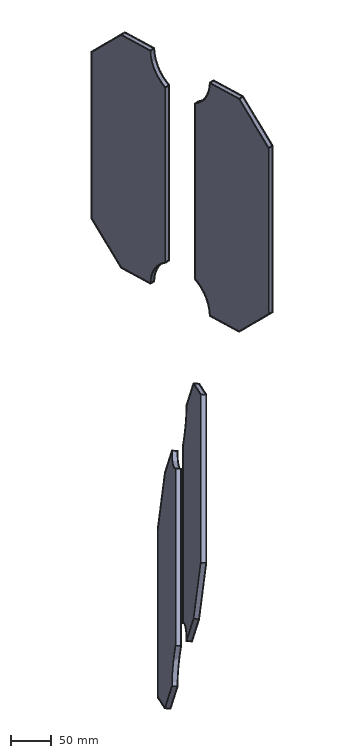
import cadquery as cq

height = 350.0
overall_width = 300.0
thickness = 7.0
gap = 50.0
corner_cut = 50.0
scallop_radius = 50.0

plate_width = (overall_width - gap) / 2
plate_offset = (gap + plate_width) / 2


def scallop_cutter(end):
    """Cylinder along Y, through both faces, at the top (end = 1) or bottom (end = -1)."""
    return (
        cq.Workplane("XZ", origin=(0, thickness, end * height / 2))
        .circle(scallop_radius)
        .extrude(2 * thickness)
    )


def make_plate(side):
    """Plate on the +X (side = 1) or -X (side = -1) half."""
    outer_face = ">X" if side > 0 else "<X"
    plate = (
        cq.Workplane("XY")
        .box(plate_width, thickness, height)
        .faces(outer_face)
        .edges("|Y")
        .chamfer(corner_cut)
        .translate((side * plate_offset, 0, 0))
    )
    for end in (-1, 1):
        plate = plate.cut(scallop_cutter(end))
    return plate


plates = [make_plate(side) for side in (-1, 1)]
result = cq.Compound.makeCompound([plate.solids().val() for plate in plates])